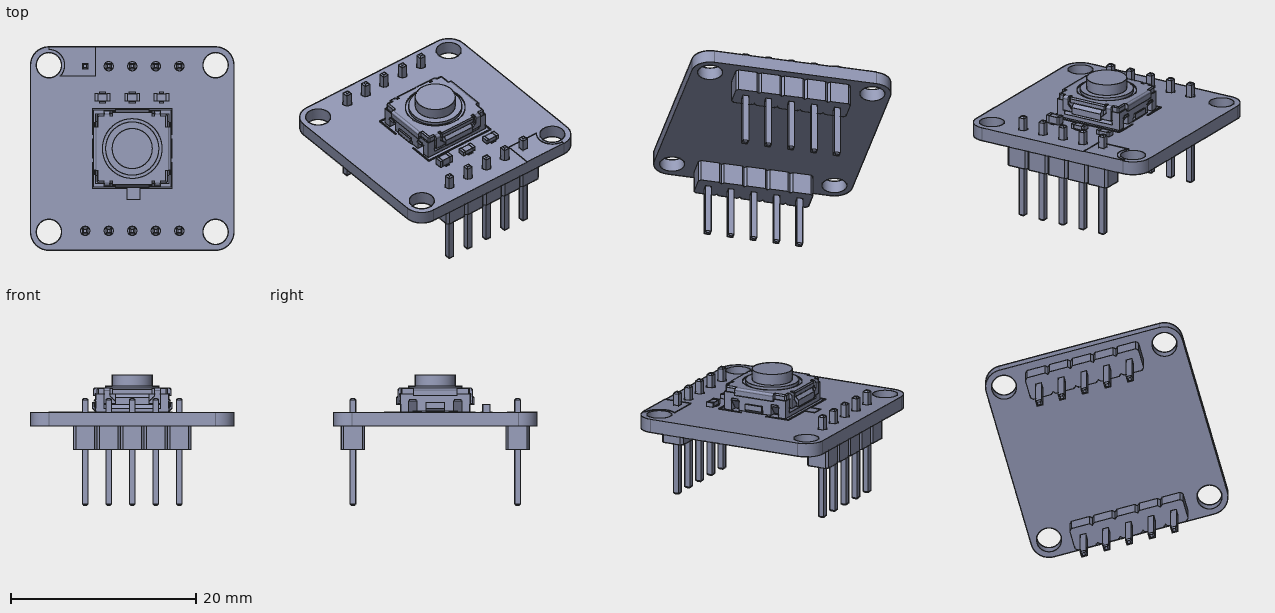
import cadquery as cq


BOARD_SIDE = 22.0
BOARD_THICKNESS = 1.5
CORNER_RADIUS = 2.0
MOUNT_HOLE_DIA = 2.7
PRINT_THICKNESS = 0.05

PIN_PITCH = 2.54
PIN_COUNT = 5
PIN_WIDTH = 0.64
PIN_TAPER = 0.16
PIN_HOLE_DIA = 1.0
PIN_ABOVE_BOARD = 1.5
PIN_BELOW_HOUSING = 6.0
HOUSING_SIDE = 2.54
HOUSING_BEVEL = 0.254
HEADER_Y = 3.5 * PIN_PITCH

RESISTOR_XS = (-3.22, 0)
CAPACITOR_X = 3.15
CHIP_Y = 5.52
CHIP_LENGTH = 1.6
CHIP_WIDTH = 0.8
TERMINAL_LENGTH = 0.3
TERMINAL_PROUD = 0.03
RESISTOR_HEIGHT = 0.48
CAPACITOR_HEIGHT = 0.85

BOARD_TOP = BOARD_THICKNESS
PRINT_TOP = BOARD_TOP + PRINT_THICKNESS
MOUNT_OFFSET = BOARD_SIDE / 2 - CORNER_RADIUS
PIN_XS = [(i - (PIN_COUNT - 1) / 2) * PIN_PITCH for i in range(PIN_COUNT)]
HEADER_YS = (-HEADER_Y, HEADER_Y)
PIN_BOTTOM = -HOUSING_SIDE - PIN_BELOW_HOUSING
PIN_TOP = BOARD_TOP + PIN_ABOVE_BOARD


def block(x_min, x_max, y_min, y_max, z_min, z_max):
    """Box given by its limits along X, Y and Z."""
    size = (x_max - x_min, y_max - y_min, z_max - z_min)
    return cq.Workplane("XY").box(*size, centered=False).translate((x_min, y_min, z_min))


def centred_block(length, width, z_min, z_max):
    """Box centred on the Z axis."""
    return block(-length / 2, length / 2, -width / 2, width / 2, z_min, z_max)


def both_ways(shape):
    """The shape joined with its copy turned half a turn about Z."""
    return shape.union(shape.rotate((0, 0, 0), (0, 0, 1), 180))


GROUND_PRINT_RIGHT = -3.95
GROUND_PRINT_BOTTOM = 7.82
GROUND_PRINT_CLEARANCE = 1.7

FRAME_SIDE = 8.6
FRAME_LINE = 0.12
FRAME_GAP = 3.0
LABEL_X = 0.13
LABEL_WIDTH = 1.4
LABEL_HEIGHT = 1.2

CHIP_MARK_REACH = 0.6
CHIP_MARK_LINE = 0.17
RESISTOR_MARK_LENGTH = 0.65
CAPACITOR_MARK_LENGTH = 0.45


def ground_print():
    """Printed patch running from the mounting-hole clearance to the board edge."""
    patch = block(
        -MOUNT_OFFSET, GROUND_PRINT_RIGHT,
        GROUND_PRINT_BOTTOM, BOARD_SIDE / 2,
        BOARD_TOP, PRINT_TOP,
    )
    clearance = (
        cq.Workplane("XY", origin=(-MOUNT_OFFSET, MOUNT_OFFSET, BOARD_TOP))
        .circle(GROUND_PRINT_CLEARANCE)
        .extrude(PRINT_THICKNESS)
    )
    return patch.cut(clearance)


def switch_frame_print():
    """Printed frame round the switch with the label plate below it."""
    inner_side = FRAME_SIDE - 2 * FRAME_LINE
    frame = centred_block(FRAME_SIDE, FRAME_SIDE, BOARD_TOP, PRINT_TOP)
    frame = frame.cut(centred_block(inner_side, inner_side, BOARD_TOP, PRINT_TOP))
    frame = frame.cut(centred_block(FRAME_SIDE, FRAME_GAP, BOARD_TOP, PRINT_TOP))
    label = block(
        LABEL_X - LABEL_WIDTH / 2, LABEL_X + LABEL_WIDTH / 2,
        -FRAME_SIDE / 2 - LABEL_HEIGHT, -FRAME_SIDE / 2,
        BOARD_TOP, PRINT_TOP,
    )
    return frame.union(label)


def chip_print(x, length):
    """Pair of printed bars above and below one chip."""
    bar = block(
        -length / 2, length / 2,
        CHIP_MARK_REACH - CHIP_MARK_LINE, CHIP_MARK_REACH,
        BOARD_TOP, PRINT_TOP,
    )
    return both_ways(bar).translate((x, CHIP_Y, 0))


def make_board():
    board = (
        cq.Workplane("XY")
        .rect(BOARD_SIDE, BOARD_SIDE)
        .extrude(BOARD_THICKNESS)
        .edges("|Z")
        .fillet(CORNER_RADIUS)
        .faces(">Z")
        .workplane()
        .rect(2 * MOUNT_OFFSET, 2 * MOUNT_OFFSET, forConstruction=True)
        .vertices()
        .hole(MOUNT_HOLE_DIA)
    )
    ground_pin = (PIN_XS[0], HEADER_Y)
    signal_pins = [(x, y) for x in PIN_XS for y in HEADER_YS if (x, y) != ground_pin]
    board = board.cut(
        cq.Workplane("XY").pushPoints(signal_pins).circle(PIN_HOLE_DIA / 2).extrude(BOARD_THICKNESS)
    )
    ground_pin_hole = centred_block(PIN_WIDTH, PIN_WIDTH, 0, PRINT_TOP).translate((*ground_pin, 0))
    board = board.union(ground_print()).cut(ground_pin_hole)
    board = board.union(switch_frame_print())
    for x in RESISTOR_XS:
        board = board.union(chip_print(x, RESISTOR_MARK_LENGTH))
    return board.union(chip_print(CAPACITOR_X, CAPACITOR_MARK_LENGTH))


def make_header(y):
    """Row of bevelled housing cells under the board, with the pins moulded in."""
    header = None
    for x in PIN_XS:
        cell = (
            centred_block(HOUSING_SIDE, HOUSING_SIDE, -HOUSING_SIDE, 0)
            .edges("|Z")
            .chamfer(HOUSING_BEVEL)
        )
        pin = (
            centred_block(PIN_WIDTH, PIN_WIDTH, PIN_BOTTOM, PIN_TOP)
            .faces("<Z or >Z")
            .chamfer(PIN_TAPER)
        )
        cell = cell.union(pin).translate((x, y, 0))
        header = cell if header is None else header.union(cell)
    return header


def make_chip(x, height):
    """Chip with a slightly slimmer body between two end terminals."""
    top = BOARD_TOP + height
    body = centred_block(
        CHIP_LENGTH - 2 * TERMINAL_PROUD, CHIP_WIDTH - 2 * TERMINAL_PROUD, BOARD_TOP, top - TERMINAL_PROUD
    )
    terminal = block(
        -CHIP_LENGTH / 2, -CHIP_LENGTH / 2 + TERMINAL_LENGTH,
        -CHIP_WIDTH / 2, CHIP_WIDTH / 2,
        BOARD_TOP, top,
    )
    return body.union(both_ways(terminal)).translate((x, CHIP_Y, 0))


BASE_LENGTH = 7.9
BASE_WIDTH = 7.5
BASE_HEIGHT = 2.0

COVER_TOP = 2.64
COVER_LENGTH = 7.6
COVER_WIDTH = 7.44
COVER_CORNER = 0.15
COVER_BEND = 0.19
COVER_BEND_INSET = 0.08
SHEET = 0.2
SIDE_TAB_BEND = 0.25
LEG_BEND = 0.3

SIDE_TAB_REACH = 4.19
SIDE_TAB_WIDTH = 4.7
SIDE_TAB_BOTTOM = 1.8

LIP_REACH = 3.95
LIP_LENGTH = 4.3

LEG_REACH = 4.03
LEG_OUTER_X = 3.05
LEG_INNER_X = 2.43
LEG_FOOT_X = 1.82
LEG_FOOT_TOP = 1.78
LEG_FOOT_END = 1.2
LEG_BOTTOM = 0.97

LATCH_REACH = 4.2
LATCH_SHOULDER = 1.58
LATCH_BOTTOM = 0.86
RECESS_DEPTH = 0.2
SILL_HEIGHT = 0.43

NOTCH_Y = 2.43
NOTCH_WIDTH = 0.93
NOTCH_HEIGHT = 1.2
NOTCH_DEPTH = 0.9
UNDERCUT = 0.12
NUB_REACH = 4.15
NUB_WIDTH = 0.74
NUB_HEIGHT = 0.18
NUB_SLOPE = 0.1

SPRING_REACH = 4.3
SPRING_WIDTH = 2.02
SPRING_TOP = 1.04
SPRING_KNEE = 0.43
SPRING_BOTTOM = 0.08

COLLAR_DIA = 5.75
COLLAR_TOP = 2.83
COLLAR_OPENING_DIA = 6.45
COLLAR_GROOVE_DEPTH = 0.15
BUTTON_DIA = 4.33
BUTTON_TOP = 4.05


def prism_along_y(points, y, width):
    """Outline in X and Z, extruded to a width centred on y."""
    return cq.Workplane("XZ").polyline(points).close().extrude(width / 2, both=True).translate((0, y, 0))


def prism_along_x(points, length):
    """Outline in Y and Z, extruded to a length centred on X = 0."""
    return cq.Workplane("YZ").polyline(points).close().extrude(length / 2, both=True)


def switch_base():
    base = centred_block(BASE_LENGTH, BASE_WIDTH, 0, BASE_HEIGHT)
    front = -BASE_WIDTH / 2
    side = -BASE_LENGTH / 2

    recess = [
        (front, SILL_HEIGHT),
        (front + RECESS_DEPTH, LATCH_BOTTOM),
        (front + RECESS_DEPTH, BASE_HEIGHT),
        (front, BASE_HEIGHT),
    ]
    base = base.cut(both_ways(prism_along_x(recess, 2 * LEG_OUTER_X)))

    notch = [(side, 0), (side + NOTCH_DEPTH, 0), (side, NOTCH_HEIGHT)]
    for y in (-NOTCH_Y, NOTCH_Y):
        base = base.cut(both_ways(prism_along_y(notch, y, NOTCH_WIDTH)))
    undercut = block(side, side + NOTCH_DEPTH, -NOTCH_Y, NOTCH_Y, 0, UNDERCUT)
    return base.cut(both_ways(undercut))


def base_latch():
    """Snap latch with a sloping top, standing out of the base recess."""
    back = -BASE_WIDTH / 2 + RECESS_DEPTH
    shoulder_rise = BASE_HEIGHT - LATCH_SHOULDER
    outline = [
        (back, LATCH_BOTTOM),
        (-LATCH_REACH, LATCH_BOTTOM),
        (-LATCH_REACH, LATCH_SHOULDER),
        (-LATCH_REACH + shoulder_rise, BASE_HEIGHT),
        (back, BASE_HEIGHT),
    ]
    return prism_along_x(outline, 2 * LEG_FOOT_X)


def side_nub(y):
    """Nub with a sloping top above a notch."""
    side = -BASE_LENGTH / 2
    outline = [
        (side, NOTCH_HEIGHT),
        (-NUB_REACH, NOTCH_HEIGHT),
        (-NUB_REACH + NUB_SLOPE, NOTCH_HEIGHT + NUB_HEIGHT),
        (side, NOTCH_HEIGHT + NUB_HEIGHT),
    ]
    return prism_along_y(outline, y, NUB_WIDTH)


def spring_finger():
    """Bent finger rising outwards from the foot of the base."""
    side = -BASE_LENGTH / 2
    outline = [
        (side, SPRING_BOTTOM),
        (-SPRING_REACH, SPRING_KNEE),
        (-SPRING_REACH, SPRING_TOP),
        (-SPRING_REACH + SHEET, SPRING_TOP),
        (-SPRING_REACH + SHEET, SPRING_KNEE + SHEET),
        (side, SPRING_KNEE),
    ]
    return prism_along_y(outline, 0, SPRING_WIDTH)


def cover_plate():
    return (
        centred_block(COVER_LENGTH, COVER_WIDTH, BASE_HEIGHT, COVER_TOP)
        .edges("|Z")
        .chamfer(COVER_CORNER)
        .faces(">Z")
        .chamfer(COVER_BEND, COVER_BEND_INSET)
    )


def cover_lip():
    lip = block(-LIP_LENGTH / 2, LIP_LENGTH / 2, -LIP_REACH, 0, BASE_HEIGHT, COVER_TOP)
    return lip.faces("<Y").edges(">Z").chamfer(COVER_BEND, COVER_BEND_INSET)


def side_tab():
    """Cover tab bent down over an X side of the base."""
    tab = block(
        -SIDE_TAB_REACH, -COVER_LENGTH / 2 + SHEET,
        -SIDE_TAB_WIDTH / 2, SIDE_TAB_WIDTH / 2,
        BASE_HEIGHT, COVER_TOP,
    )
    tab = tab.faces("<X").edges(">Z").fillet(SIDE_TAB_BEND)
    skirt = block(
        -SIDE_TAB_REACH, -SIDE_TAB_REACH + SHEET,
        -SIDE_TAB_WIDTH / 2, SIDE_TAB_WIDTH / 2,
        SIDE_TAB_BOTTOM, BASE_HEIGHT,
    )
    return tab.union(skirt)


def cover_leg(side):
    """Cover leg on a Y side; side is -1 or 1 for the end along X."""
    strap = block(LEG_INNER_X, LEG_OUTER_X, -LEG_REACH, -COVER_WIDTH / 2 + SHEET, BASE_HEIGHT, COVER_TOP)
    strap = strap.faces("<Y").edges(">Z").fillet(LEG_BEND)
    shank = block(LEG_INNER_X, LEG_OUTER_X, -LEG_REACH, -LEG_REACH + SHEET, LEG_BOTTOM, BASE_HEIGHT)
    foot_outline = [
        (LEG_INNER_X, LEG_BOTTOM),
        (LEG_INNER_X, LEG_FOOT_TOP),
        (LEG_FOOT_X, LEG_FOOT_END),
        (LEG_FOOT_X, LEG_BOTTOM),
    ]
    foot = (
        cq.Workplane("XZ", origin=(0, -LEG_REACH + SHEET, 0))
        .polyline(foot_outline)
        .close()
        .extrude(SHEET)
    )
    leg = strap.union(shank).union(foot)
    return leg if side > 0 else leg.mirror("YZ")


def cylinder(diameter, z_min, z_max):
    return cq.Workplane("XY", origin=(0, 0, z_min)).circle(diameter / 2).extrude(z_max - z_min)


def make_switch():
    details = base_latch().union(spring_finger()).union(side_tab()).union(cover_lip())
    for sign in (-1, 1):
        details = details.union(side_nub(sign * NOTCH_Y)).union(cover_leg(sign))
    switch = switch_base().union(cover_plate()).union(both_ways(details))

    groove_floor = COVER_TOP - COLLAR_GROOVE_DEPTH
    switch = switch.cut(cylinder(COLLAR_OPENING_DIA, groove_floor, COVER_TOP))
    switch = switch.union(cylinder(COLLAR_DIA, groove_floor, COLLAR_TOP))
    switch = switch.union(cylinder(BUTTON_DIA, groove_floor, BUTTON_TOP))
    return switch.translate((0, 0, BOARD_TOP))


board = make_board()
switch = make_switch()
headers = [make_header(y) for y in HEADER_YS]
resistors = [make_chip(x, RESISTOR_HEIGHT) for x in RESISTOR_XS]
capacitor = make_chip(CAPACITOR_X, CAPACITOR_HEIGHT)

bodies = [board, switch, *headers, *resistors, capacitor]
result = cq.Compound.makeCompound([body.val() for body in bodies])